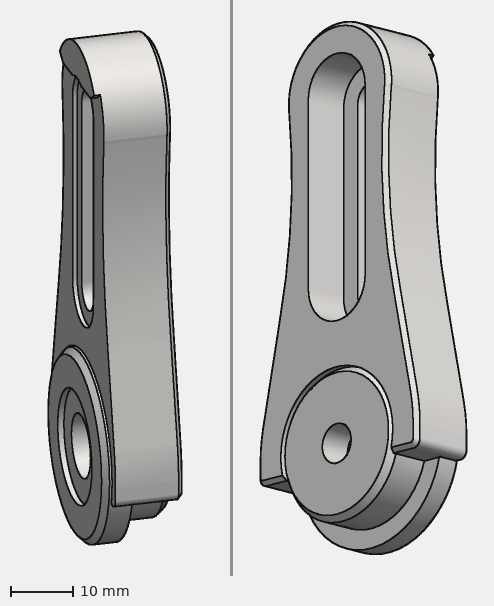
import cadquery as cq
import math


arm_thickness = 11.35
arm_back_chamfer = 0.8
tip_radius = 11.7
tip_center_z = 58.3
tip_arc_end_z = 57.6
waist_start_half_width = 11.6
waist_start_z = 57.1
waist_end_half_width = 13.75
waist_end_z = 22.9
waist_radius = 99.7
foot_half_width = 18.1
foot_arc_height = 5.85
flank_slope = 0.222
foot_bottom_z = -3.8
foot_corner_radius = 1.4

pad_height = 1.0
pad_bottom_z = 63.6
pad_bottom_half_width = 7.7
pad_corner_half_width = 9.6
pad_corner_z = 64.9
pad_front = arm_thickness + pad_height

slot_low_z = 26.8
slot_neck_radius = 3.3
slot_recess_radius = tip_radius / 2
slot_recess_depth = 0.8
slot_channel_radius = 6.45
slot_channel_depth = 8.0

roller_length = 12.7
flange_radius = 16.0
flange_thickness = 5.0
flange_chamfer = 1.0
hub_radius = 12.7
hub_chamfer_length = 1.3
hub_chamfer_height = 0.95
face_recess_radius = 9.55
face_recess_depth = 1.0
counterbore_radius = 5.3
counterbore_depth = 6.0
bore_radius = 3.3

seat_clearance = 0.3
seat_radius = flange_radius + seat_clearance
flange_back = roller_length - flange_thickness


def cylinder(radius, back, front):
    """Cylinder on the roller axis, between two distances forward of the arm's back face."""
    return cq.Workplane("XZ", origin=(0, -back, 0)).circle(radius).extrude(front - back)


def slot(radius, back, front):
    """Round-ended bar along Z that spans the slot's two end centers."""
    length = tip_center_z - slot_low_z + 2 * radius
    middle_z = (tip_center_z + slot_low_z) / 2
    return (
        cq.Workplane("XZ", origin=(0, -back, middle_z))
        .slot2D(length, 2 * radius, 90)
        .extrude(front - back)
    )


def make_plate():
    """Bottle-shaped plate with a round tip, a concave waist and two square feet."""
    tip_arc_half_width = math.sqrt(tip_radius**2 - (tip_center_z - tip_arc_end_z) ** 2)
    flank_angle = math.atan(flank_slope)
    foot_arc_radius = foot_arc_height / math.sin(flank_angle)
    flank_low_half_width = foot_half_width - foot_arc_radius * (1 - math.cos(flank_angle))
    plate = (
        cq.Workplane("XZ")
        .moveTo(-foot_half_width, foot_bottom_z)
        .lineTo(foot_half_width, foot_bottom_z)
        .lineTo(foot_half_width, 0)
        .radiusArc((flank_low_half_width, foot_arc_height), -foot_arc_radius)
        .lineTo(waist_end_half_width, waist_end_z)
        .radiusArc((waist_start_half_width, waist_start_z), waist_radius)
        .lineTo(tip_arc_half_width, tip_arc_end_z)
        .threePointArc((0, tip_center_z + tip_radius), (-tip_arc_half_width, tip_arc_end_z))
        .lineTo(-waist_start_half_width, waist_start_z)
        .radiusArc((-waist_end_half_width, waist_end_z), waist_radius)
        .lineTo(-flank_low_half_width, foot_arc_height)
        .radiusArc((-foot_half_width, 0), -foot_arc_radius)
        .close()
        .extrude(pad_front)
    )
    plate = plate.edges("|Y").edges("<Z").fillet(foot_corner_radius)
    return plate.faces(">Y").edges().chamfer(arm_back_chamfer)


def make_pad_relief():
    """Layer milled off the plate's front face, leaving the tip pad with clipped lower corners."""
    side = 2 * foot_half_width
    return (
        cq.Workplane("XZ", origin=(0, -arm_thickness, 0))
        .moveTo(-side, foot_bottom_z)
        .lineTo(side, foot_bottom_z)
        .lineTo(side, pad_corner_z)
        .lineTo(pad_corner_half_width, pad_corner_z)
        .lineTo(pad_bottom_half_width, pad_bottom_z)
        .lineTo(-pad_bottom_half_width, pad_bottom_z)
        .lineTo(-pad_corner_half_width, pad_corner_z)
        .lineTo(-side, pad_corner_z)
        .close()
        .extrude(pad_height)
    )


def make_arm():
    arm = make_plate().cut(make_pad_relief())
    arm = arm.cut(slot(slot_neck_radius, 0, arm_thickness))
    arm = arm.cut(slot(slot_recess_radius, arm_thickness - slot_recess_depth, pad_front))
    arm = arm.cut(slot(slot_channel_radius, 0, slot_channel_depth))
    arm = arm.cut(cylinder(seat_radius, flange_back, arm_thickness))
    return arm.cut(cylinder(hub_radius, 0, flange_back))


def make_roller():
    """Flanged roller: chamfered hub and flange with a stepped bore."""
    face_recess_floor = roller_length - face_recess_depth
    counterbore_floor = face_recess_floor - counterbore_depth
    profile = [
        (bore_radius, 0),
        (hub_radius - hub_chamfer_height, 0),
        (hub_radius, -hub_chamfer_length),
        (hub_radius, -flange_back),
        (flange_radius, -flange_back),
        (flange_radius, flange_chamfer - roller_length),
        (flange_radius - flange_chamfer, -roller_length),
        (face_recess_radius, -roller_length),
        (face_recess_radius, -face_recess_floor),
        (counterbore_radius, -face_recess_floor),
        (counterbore_radius, -counterbore_floor),
        (bore_radius, -counterbore_floor),
    ]
    return cq.Workplane("XY").polyline(profile).close().revolve(360, (0, 0, 0), (0, 1, 0))


arm = make_arm()
roller = make_roller()

result = cq.Compound.makeCompound([arm.val(), roller.val()])